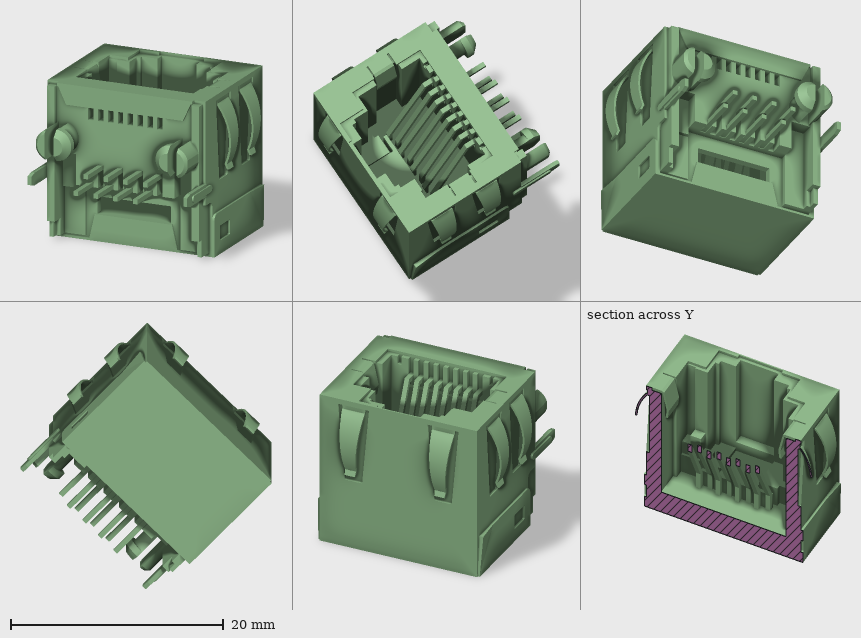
import cadquery as cq
import math


height = 15.75
half_width = 8.2
sheet = 0.3
side_front_y = -12.63
flap_front_y = -11.17
side_notch_z = 5.5
notch_radius = 0.5
lip_front_y = -13.14
lip_half_width = 7.02
front_flange_half_width = 6.06
front_flange_z = 13.72
front_flange_thickness = 0.23

plastic_half_width = 7.9
plastic_bottom = 0.43
plastic_top = height - sheet
wall_front_y = -12.91
post_front_y = -13.45
post_inner_x = 7.1
post_bottom = 2.12
post_foot_inner_x = 7.47

recess_half_width = 5.1
recess_top = 5.88
recess_back_y = -10.95
pocket_top = 8.9
pocket_back_y = -11.58
foot_back_y = -12.2
corner_block_inner_x = 4.95
corner_block_top = 5.15
window_half_width = 3.8
window_top = 4.37
bottom_flange_half_width = 4.56
bottom_flange_top_half_width = 4.0
bottom_gap_z = 0.23

cavity_floor = 2.65
shoulder_floor = 4.88
channel_floor = 4.5
channel_rear_floor = 5.63
latch_half_width = 2.03
latch_back_y = -0.43
shoulder_neck_half_width = 3.62
latch_front_y = -4.94
latch_step_y = -1.39
cross_bar_half_width = 3.72
cross_bar_front_y = -5.3
shoulder_half_width = 4.0
shoulder_back_y = -1.82
shoulder_front_y = -4.55
cavity_half_width = 5.63
cavity_back_y = -3.38
cavity_front_y = -10.27
mouth_half_width = 6.21
mouth_front_y = -10.72
mouth_back_y = -0.13
mouth_corner_y = -3.08
mouth_latch_half_width = 2.33
mouth_shoulder_half_width = 4.32
rib_slot_inner_x = 4.6
rib_slot_outer_x = 4.97
rib_slot_floor = 14.64
tab_room_back_y = -5.45
tab_room_front_y = -8.28
right_ledge_front_y = -4.11
left_corner_inner_x = -5.33
left_corner_back_y = -3.23
left_keys = (
    (-mouth_half_width, left_corner_inner_x, -4.32, left_corner_back_y, 6.38),
    (left_corner_inner_x, -4.22, -4.32, cavity_back_y, 7.5),
    (-4.22, -3.2, shoulder_front_y, -3.43, 5.63),
)

tab_slit_end_x = 7.56
tab_fold_x = 6.59
tab_slit_back_y = -5.57
tab_back_y = -5.72
tab_front_y = -7.85
tab_slit_front_y = -8.07
tab_thickness = 0.23
tab_knee_x = 5.8
tab_knee_z = 13.42
tab_end_x = 5.91
tab_end_z = 12.48

contact_count = 8
contact_row_width = 7.17
contact_pitch = contact_row_width / (contact_count - 1)
contact_width = 0.47
slot_width = 0.56
blade_top = front_flange_z + 0.1
blade_root_y = mouth_front_y - 0.38
pin_root_y = recess_back_y + 0.19
upper_blade_end_y = cross_bar_front_y
lower_blade_end_y = -5.63
pin_thickness = 0.45
pin_tip_y = -16.24
upper_pin_top = 8.16
lower_pin_top = 6.38
comb_bottom = 12.46
contact_bend_y = -9.38
contact_bottom = 2.95

peg_x = 6.38
peg_z = 10.44
peg_radius = 1.54
peg_slot_outer_x = 6.87
peg_slot_inner_x = 5.91
peg_flat_x = 7.86
peg_chamfer = 0.3
hook_shift = 0.47
hook_back_y = -14.96
hook_cone_y = -15.6

leg_outer_x = 8.28
leg_inner_x = 7.88
leg_bottom = 6.4
leg_top = 7.64
leg_tip_y = -16.91
leg_tip_half_height = 0.43
bead_outer_x = 8.43
bead_back_y = -11.64
bead_front_y = -15.88
bead_height = 0.68

flap_outer_x = 8.43
flap_top = 4.19
flap_radius = 0.58
flap_rear_bottom_y = -0.19
flap_rear_top_y = -0.5
flare_outer_x = 8.63
flare_fold_y = -3.1
flap_window_y = -8.82
flap_window_z = 2.06
flap_window_length = 2.23
flap_window_height = 1.48
flap_window_radius = 0.15

spring_bulge = 1.18
spring_root_z = 14.77
spring_thickness = 0.2
spring_top_z = 15.2
spring_window_bottom = 7.2
spring_window_half_top = 1.61
spring_window_half_bottom = 0.9
spring_window_radius = 0.13
spring_half_top = 1.22
spring_half_bottom = 0.53
spring_peak_z = 11.22
spring_bend_z = 8.73
spring_radius = ((spring_root_z - spring_peak_z) ** 2 + spring_bulge**2) / (2 * spring_bulge)
spring_tip_z = 8.2
spring_tip_out = 0.83
spring_root_setback = 0.08
side_spring_ys = (-3.72, -8.7)
rear_spring_x = 4.67


def box(x0, x1, y0, y1, z0, z1):
    return cq.Workplane("XY").box(x1 - x0, y1 - y0, z1 - z0, centered=False).translate((x0, y0, z0))


def mirrored(body):
    """The body together with its mirror image across X = 0."""
    return body.union(body.mirror("YZ"))


def extrude_x(points, x0, x1):
    """Extrude a closed (Y, Z) outline from x0 to x1."""
    return cq.Workplane("YZ").workplane(offset=x0).polyline(points).close().extrude(x1 - x0)


def extrude_y(points, y0, y1):
    """Extrude a closed (X, Z) outline from y0 (rear) forward to y1."""
    return cq.Workplane("XZ").workplane(offset=-y0).polyline(points).close().extrude(y0 - y1)


def extrude_z(points, z0, z1):
    """Extrude a closed (X, Y) outline from z0 to z1."""
    return cq.Workplane("XY").workplane(offset=z0).polyline(points).close().extrude(z1 - z0)


def symmetric(points):
    """Close a right-hand (X, other) outline with its mirror image."""
    return points + [(-x, v) for x, v in reversed(points)]


def shield():
    side = [
        (0, 0),
        (flap_front_y, 0),
        (flap_front_y, side_notch_z),
        (side_front_y, side_notch_z),
        (side_front_y, height),
        (0, height),
    ]
    body = extrude_x(side, -half_width, half_width)
    notch_corner = cq.selectors.NearestToPointSelector((0, flap_front_y, side_notch_z))
    body = body.edges(notch_corner).fillet(notch_radius)
    lip = box(-lip_half_width, lip_half_width, lip_front_y, side_front_y, plastic_top, height)
    flange = extrude_y(
        symmetric([(lip_half_width, height), (front_flange_half_width, front_flange_z)]),
        lip_front_y + front_flange_thickness,
        lip_front_y,
    )
    return body.union(lip).union(flange)


def plastic_front():
    """Front wall of the insert with its two corner posts."""
    wall = box(
        -plastic_half_width, plastic_half_width, wall_front_y, flap_front_y, plastic_bottom, plastic_top
    )
    post = box(post_inner_x, plastic_half_width, post_front_y, wall_front_y, post_bottom, plastic_top)
    return wall.union(mirrored(post))


def front_recesses():
    center = box(-recess_half_width, recess_half_width, post_front_y, recess_back_y, 0, recess_top)
    pocket = box(recess_half_width, post_inner_x, post_front_y, pocket_back_y, 0, pocket_top)
    foot = box(post_inner_x, post_foot_inner_x, post_front_y, foot_back_y, 0, post_bottom)
    under = box(recess_half_width, post_inner_x, pocket_back_y, flap_front_y, 0, plastic_bottom)
    gap = box(
        bottom_flange_half_width, plastic_half_width, flap_front_y, recess_back_y,
        bottom_gap_z, plastic_bottom,
    )
    left_corner = box(
        -post_inner_x, -recess_half_width, pocket_back_y, flap_front_y, 0, corner_block_top
    )
    return center.union(mirrored(pocket.union(foot).union(under).union(gap))).union(left_corner)


def bottom_front():
    """Bottom flange of the shield and the low block at its left."""
    flange = extrude_y(
        symmetric([
            (half_width, 0),
            (half_width, bottom_gap_z),
            (bottom_flange_half_width, bottom_gap_z),
            (bottom_flange_top_half_width, cavity_floor),
        ]),
        recess_back_y,
        flap_front_y,
    )
    block = box(
        -recess_half_width, -corner_block_inner_x, flap_front_y, recess_back_y,
        plastic_bottom, corner_block_top,
    )
    return flange.union(block)


def raised_floors():
    """Steps standing on the cavity floor: latch ramp, shoulders and the keys beside the latch."""
    steps = box(
        -latch_half_width, latch_half_width, latch_front_y, cavity_back_y, cavity_floor, channel_floor
    )
    steps = steps.union(box(
        -cross_bar_half_width, cross_bar_half_width, cross_bar_front_y, latch_front_y,
        cavity_floor, channel_floor,
    ))
    shoulder = box(
        latch_half_width, shoulder_half_width, shoulder_front_y, cavity_back_y,
        cavity_floor, shoulder_floor,
    )
    steps = steps.union(mirrored(shoulder))
    steps = steps.union(box(
        shoulder_half_width, cavity_half_width, right_ledge_front_y, cavity_back_y,
        cavity_floor, shoulder_floor,
    ))
    steps = steps.union(box(
        -mouth_half_width, -shoulder_half_width, shoulder_front_y, cavity_back_y,
        cavity_floor, shoulder_floor,
    ))
    for x0, x1, y0, y1, top in left_keys:
        steps = steps.union(box(x0, x1, y0, y1, cavity_floor, top))
    return steps


def cavity():
    """Plug opening: thin shield cut-out, stepped plastic well and its floor levels."""
    mouth = extrude_z(
        symmetric([
            (mouth_latch_half_width, mouth_back_y),
            (mouth_latch_half_width, latch_back_y),
            (mouth_shoulder_half_width, latch_back_y),
            (mouth_shoulder_half_width, mouth_corner_y),
            (mouth_half_width, mouth_corner_y),
            (mouth_half_width, mouth_front_y),
        ]),
        plastic_top,
        height,
    )
    well = extrude_z(
        symmetric([
            (shoulder_half_width, cavity_back_y),
            (cavity_half_width, cavity_back_y),
            (cavity_half_width, cavity_front_y),
        ]),
        cavity_floor,
        plastic_top,
    )
    shoulder = extrude_z(
        symmetric([
            (shoulder_neck_half_width, latch_step_y),
            (shoulder_neck_half_width, shoulder_back_y),
            (shoulder_half_width, shoulder_back_y),
            (shoulder_half_width, shoulder_front_y),
        ]),
        shoulder_floor,
        plastic_top,
    )
    latch = box(
        -latch_half_width, latch_half_width, latch_front_y, latch_step_y, channel_floor, plastic_top
    )
    latch_rear = box(
        -latch_half_width, latch_half_width, latch_step_y, latch_back_y, channel_rear_floor, plastic_top
    )
    tab_room = box(
        -tab_fold_x, tab_fold_x, tab_room_front_y, tab_room_back_y, cavity_floor, plastic_top
    )
    left_pocket = box(
        -mouth_half_width, -shoulder_half_width, tab_room_back_y, cavity_back_y, cavity_floor, plastic_top
    )
    left_corner = box(
        -mouth_half_width, left_corner_inner_x, cavity_back_y, left_corner_back_y,
        cavity_floor, plastic_top,
    )
    well = well.union(shoulder).union(latch).union(latch_rear).union(tab_room)
    well = well.union(left_pocket).union(left_corner)
    well = well.cut(raised_floors())
    window = box(
        -window_half_width, window_half_width, wall_front_y, cavity_front_y, cavity_floor, window_top
    )
    rib_slot = box(
        rib_slot_inner_x, rib_slot_outer_x, mouth_front_y, cavity_front_y, rib_slot_floor, plastic_top
    )
    return mouth.union(well).union(window).union(mirrored(rib_slot))


def contact_x(index):
    return (index - (contact_count - 1) / 2) * contact_pitch


def is_upper(index):
    return index % 2 == 1


def contact_slots():
    """Comb slots above the wall and pin slots rising from the front recess."""
    slots = cq.Workplane("XY")
    for index in range(contact_count):
        x0 = contact_x(index) - slot_width / 2
        x1 = x0 + slot_width
        pin_top = upper_pin_top if is_upper(index) else lower_pin_top
        slots = slots.union(box(x0, x1, wall_front_y, cavity_front_y, comb_bottom, front_flange_z))
        slots = slots.union(box(x0, x1, mouth_front_y, cavity_front_y, comb_bottom, plastic_top))
        slots = slots.union(box(x0, x1, wall_front_y, pocket_back_y, recess_top, pin_top))
    return slots


def contacts():
    """Board pins and the sloping blades inside the plug cavity."""
    wires = cq.Workplane("XY")
    for index in range(contact_count):
        x0 = contact_x(index) - contact_width / 2
        x1 = x0 + contact_width
        pin_top = upper_pin_top if is_upper(index) else lower_pin_top
        blade_end_y = upper_blade_end_y if is_upper(index) else lower_blade_end_y
        blade = [
            (blade_root_y, blade_top),
            (contact_bend_y, blade_top),
            (blade_end_y, window_top + pin_thickness),
            (blade_end_y, contact_bottom),
            (blade_end_y - pin_thickness, contact_bottom),
            (blade_end_y - pin_thickness, window_top + pin_thickness),
            (contact_bend_y - pin_thickness / 2, blade_top - pin_thickness),
            (blade_root_y, blade_top - pin_thickness),
        ]
        wires = wires.union(extrude_x(blade, x0, x1))
        wires = wires.union(box(x0, x1, blade_root_y, mouth_front_y, comb_bottom, blade_top))
        wires = wires.union(box(x0, x1, pin_tip_y, pin_root_y, pin_top - pin_thickness, pin_top))
    return wires


def peg_cylinder(x, radius, y0, y1):
    return cq.Workplane("XZ", origin=(x, y0, peg_z)).circle(radius).extrude(y0 - y1)


def peg():
    """Split locating peg on the +X side: a plain outer prong and a hooked inner prong."""
    shaft = peg_cylinder(peg_x, peg_radius, pocket_back_y, pin_tip_y)
    outer = shaft.faces("<Y").chamfer(peg_chamfer)
    z0 = peg_z - 2 * peg_radius
    z1 = peg_z + 2 * peg_radius
    outer = outer.intersect(box(peg_slot_outer_x, peg_flat_x, pin_tip_y, wall_front_y, z0, z1))
    hook_x = peg_x - hook_shift
    hook = peg_cylinder(hook_x, peg_radius, hook_back_y, pin_tip_y)
    hook = hook.faces("<Y").chamfer(hook_cone_y - pin_tip_y)
    inner = peg_cylinder(peg_x, peg_radius, pocket_back_y, hook_back_y).union(hook)
    inner = inner.intersect(box(hook_x - peg_radius, peg_slot_inner_x, pin_tip_y, wall_front_y, z0, z1))
    return outer.union(inner)


def ground_leg():
    mid_z = (leg_bottom + leg_top) / 2
    outline = [
        (side_front_y, leg_bottom),
        (pin_tip_y, leg_bottom),
        (leg_tip_y, mid_z - leg_tip_half_height),
        (leg_tip_y, mid_z + leg_tip_half_height),
        (pin_tip_y, leg_top),
        (side_front_y, leg_top),
    ]
    leg = extrude_x(outline, leg_inner_x, leg_outer_x)
    bead = (
        cq.Workplane("YZ", origin=(leg_inner_x, (bead_back_y + bead_front_y) / 2, mid_z))
        .slot2D(bead_back_y - bead_front_y, bead_height)
        .extrude(bead_outer_x - leg_inner_x)
    )
    return leg.union(bead)


def tab_slits():
    """Cut-out in the shield that frees one grounding tab on the +X side."""
    slit = box(mouth_half_width, tab_slit_end_x, tab_slit_front_y, tab_slit_back_y, plastic_top, height)
    return slit.cut(box(tab_fold_x, tab_slit_end_x, tab_front_y, tab_back_y, plastic_top, height))


def tab():
    """Tab on the +X side, bent down into the cavity and kinked back at its end."""
    outline = [
        (tab_fold_x, height),
        (tab_fold_x - sheet, height - tab_thickness / 2),
        (tab_knee_x, tab_knee_z),
        (tab_end_x, tab_end_z),
        (tab_end_x + tab_thickness, tab_end_z),
        (tab_knee_x + tab_thickness, tab_knee_z),
        (tab_fold_x - sheet / 2, plastic_top),
        (tab_fold_x, plastic_top),
    ]
    return extrude_y(outline, tab_back_y, tab_front_y)


def tetrahedron(a, b, c, d):
    triangles = [(a, b, c), (a, b, d), (a, c, d), (b, c, d)]
    faces = []
    for triangle in triangles:
        corners = [cq.Vector(*corner) for corner in triangle]
        faces.append(cq.Face.makeFromWires(cq.Wire.makePolygon(corners, close=True)))
    return cq.Workplane(obj=cq.Solid.makeSolid(cq.Shell.makeShell(faces)))


def side_flap():
    """Folded side flap on the +X side with a flared rear corner and a rectangular window."""
    outline = [
        (flap_rear_bottom_y, 0),
        (flap_rear_bottom_y, bottom_gap_z),
        (flap_rear_top_y, flap_top),
        (flap_front_y, flap_top),
        (flap_front_y, 0),
    ]
    flap = extrude_x(outline, half_width, flap_outer_x)
    corner = cq.selectors.NearestToPointSelector((flap_outer_x, flap_front_y, flap_top))
    flap = flap.edges("|X").edges(corner).fillet(flap_radius)
    window = (
        cq.Workplane("YZ", origin=(half_width, flap_window_y, flap_window_z))
        .rect(flap_window_length, flap_window_height)
        .extrude(flap_outer_x - half_width)
        .edges("|X")
        .fillet(flap_window_radius)
    )
    flare = tetrahedron(
        (flap_outer_x, flap_rear_bottom_y, bottom_gap_z),
        (flap_outer_x, flap_rear_top_y, flap_top),
        (flap_outer_x, flare_fold_y, flap_top),
        (flare_outer_x, flap_rear_top_y, flap_top),
    )
    return flap.cut(window).union(flare)


def arc_point(radius, z):
    """Point at height z on an arc around the bulge center."""
    center_out = spring_bulge - spring_radius
    return (center_out + math.sqrt(radius**2 - (z - spring_peak_z) ** 2), z)


def trapezoid(half_top, half_bottom, z_top, z_bottom, out0, out1):
    """Tapered plate facing +X, from out0 to out1."""
    return extrude_x(symmetric([(half_top, z_top), (half_bottom, z_bottom)]), out0, out1)


def spring_window():
    window = trapezoid(
        spring_window_half_top, spring_window_half_bottom, spring_top_z, spring_window_bottom, -sheet, 0
    )
    return window.edges("|X and <Z").fillet(spring_window_radius)


def spring():
    """Bowed tongue facing +X; its shield face lies at X = 0 and its middle at Y = 0."""
    inner_radius = spring_radius - spring_thickness
    bow = (
        cq.Workplane("XZ", origin=(0, spring_half_top, 0))
        .moveTo(*arc_point(spring_radius, spring_root_z))
        .threePointArc(arc_point(spring_radius, spring_peak_z), arc_point(spring_radius, spring_bend_z))
        .lineTo(spring_tip_out, spring_tip_z)
        .lineTo(spring_tip_out - spring_thickness, spring_tip_z)
        .lineTo(*arc_point(inner_radius, spring_bend_z))
        .threePointArc(arc_point(inner_radius, spring_peak_z), arc_point(inner_radius, spring_root_z))
        .close()
        .extrude(2 * spring_half_top)
    )
    root = box(
        -sheet, -spring_root_setback, -spring_half_top, spring_half_top,
        spring_root_z - spring_thickness, spring_top_z,
    )
    taper = trapezoid(
        spring_half_top, spring_half_bottom, spring_top_z, spring_tip_z, -sheet, spring_bulge
    )
    return bow.union(root).intersect(taper)


def place_springs(feature):
    """Copies of a +X facing feature: two on each side and two on the rear face."""
    sides = cq.Workplane("XY")
    for y in side_spring_ys:
        sides = sides.union(feature.translate((half_width, y, 0)))
    rear = feature.rotate((0, 0, 0), (0, 0, 1), 90).translate((rear_spring_x, 0, 0))
    return mirrored(sides.union(rear))


result = shield().union(plastic_front()).cut(front_recesses()).union(bottom_front())
result = result.cut(cavity()).cut(mirrored(tab_slits())).union(mirrored(tab()))
result = result.cut(contact_slots()).union(contacts())
result = result.union(mirrored(peg())).union(mirrored(ground_leg())).union(mirrored(side_flap()))
result = result.cut(place_springs(spring_window())).union(place_springs(spring()))